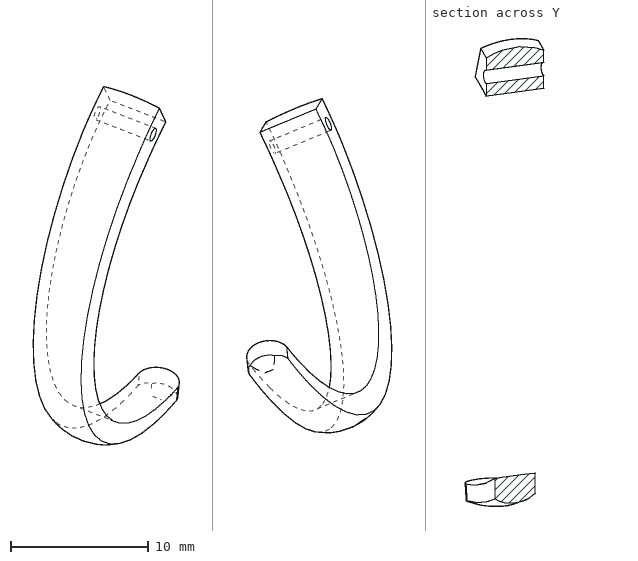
import cadquery as cq
import math

height = 36.75
depth = 17.8
hub_width = 4.6
tip_width = 3.15
crown_rise = 0.48

crest_radius = 19.22
center_y = crest_radius
center_z = 18.95

inner_mid_y = 2.55
inner_mid_z = 18.52
inner_upper_radius = 16.35
inner_lower_radius = 17.15

hub_end_angle = math.asin((height - center_z) / crest_radius)
hub_start_angle = math.radians(56.7)
tip_angle = -math.asin(center_z / crest_radius)
section_count = 9

hole_diameter = 1.0
hole_y = 11.15
hole_z = 34.4


def inner_distance(angle):
    """Distance from the crest centre to the inner face along a radial direction."""
    dir_y = -math.cos(angle)
    dir_z = math.sin(angle)
    mid_height = center_z + (center_y - inner_mid_y) * math.tan(angle)
    radius = inner_upper_radius if mid_height > inner_mid_z else inner_lower_radius
    offset_y = center_y - (inner_mid_y + radius)
    offset_z = center_z - inner_mid_z
    along = offset_y * dir_y + offset_z * dir_z
    return -along + math.sqrt(along**2 + radius**2 - offset_y**2 - offset_z**2)


def arm_width(angle):
    """Width narrowing evenly with height from the hub to the tip."""
    drop = math.sin(hub_start_angle) - math.sin(angle)
    full_drop = math.sin(hub_start_angle) - math.sin(tip_angle)
    return hub_width + (tip_width - hub_width) * drop / full_drop


def section(angle, width):
    """Closed radial section: flat inner face, flat sides and crowned outer face."""
    plane = cq.Plane(
        origin=(0, center_y, center_z),
        xDir=(1, 0, 0),
        normal=(0, -math.sin(angle), -math.cos(angle)),
    )
    inner = inner_distance(angle)
    edge = crest_radius - crown_rise
    half = width / 2
    return (
        cq.Workplane(plane)
        .moveTo(-half, inner)
        .lineTo(half, inner)
        .lineTo(half, edge)
        .threePointArc((0, crest_radius), (-half, edge))
        .close()
    )


def loft_sections(start_angle, end_angle, width_at):
    """Smooth solid through evenly spaced radial sections."""
    step = (end_angle - start_angle) / (section_count - 1)
    angles = [start_angle + i * step for i in range(section_count)]
    wires = [section(angle, width_at(angle)).wire().val() for angle in angles]
    return cq.Workplane(cq.Solid.makeLoft(wires))


def make_tip():
    """Straight end with a full-round outline, its crest trimmed level at Z = 0."""
    tip_radius = tip_width / 2
    inner = inner_distance(tip_angle)
    inner_y = center_y - inner * math.cos(tip_angle)
    length = (depth - inner_y) / -math.sin(tip_angle)
    block = section(tip_angle, tip_width).extrude(length)

    outline_plane = cq.Plane(
        origin=(0, center_y, center_z),
        xDir=(1, 0, 0),
        normal=(0, -math.cos(tip_angle), math.sin(tip_angle)),
    )
    outside_round = (
        cq.Workplane(outline_plane)
        .center(0, tip_radius / 2 - length)
        .rect(hub_width, tip_radius)
        .extrude(crest_radius)
    )
    end_round = (
        cq.Workplane(outline_plane)
        .center(0, tip_radius - length)
        .circle(tip_radius)
        .extrude(crest_radius)
    )
    corners = outside_round.cut(end_round)
    above_floor = cq.Workplane().box(hub_width, depth, height, centered=(True, False, False))
    return block.cut(corners).intersect(above_floor)


hub = loft_sections(hub_end_angle, hub_start_angle, lambda angle: hub_width)
arm = loft_sections(hub_start_angle, tip_angle, arm_width)
pin_hole = (
    cq.Workplane("YZ")
    .center(hole_y, hole_z)
    .circle(hole_diameter / 2)
    .extrude(hub_width, both=True)
)

result = hub.union(arm).union(make_tip()).cut(pin_hole)